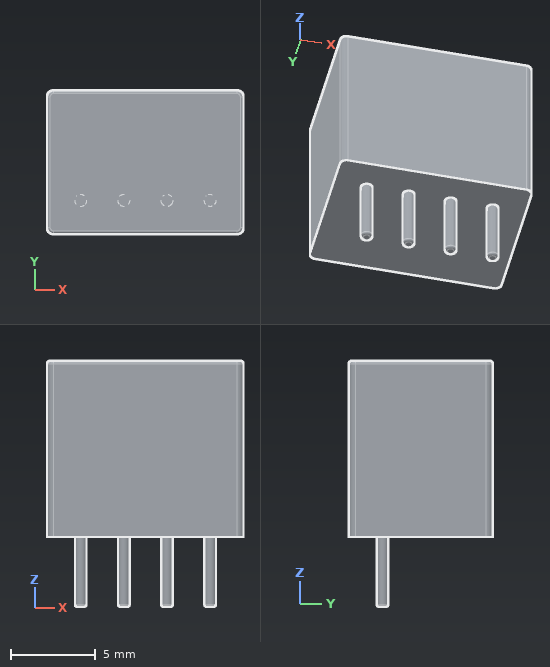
import cadquery as cq

body_length = 11.6
body_width = 8.5
overall_height = 14.5
pin_length = 4.1
body_height = overall_height - pin_length
corner_radius = 0.4
top_edge_radius = 0.2

pin_count = 4
pin_pitch = 2.54
pin_diameter = 0.7
pin_tip_radius = 0.15
pin_inset = 2.0
first_pin_x = -body_length / 2 + pin_inset
pin_row_y = -body_width / 2 + pin_inset


def make_body():
    """Case with rounded upright corners and a smaller round along its top edges."""
    case = cq.Workplane("XY").box(body_length, body_width, body_height, centered=(True, True, False))
    case = case.edges("|Z").fillet(corner_radius)
    return case.faces(">Z").edges().fillet(top_edge_radius)


def make_pin(x):
    """Round pin hanging below the case, with a rounded tip."""
    pin = cq.Workplane("XY").center(x, pin_row_y).circle(pin_diameter / 2).extrude(-pin_length)
    return pin.faces("<Z").edges().fillet(pin_tip_radius)


result = make_body()
for index in range(pin_count):
    result = result.union(make_pin(first_pin_x + index * pin_pitch))